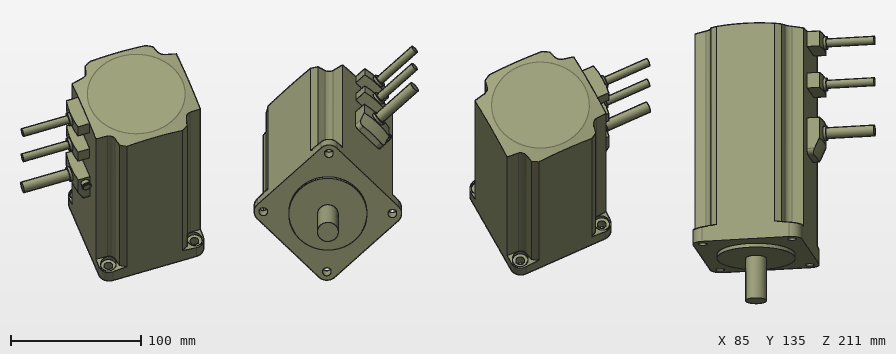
import cadquery as cq
import math

body_width = 85.0
half_width = body_width / 2
body_height = 174.0
corner_radius = 8.5
cut_margin = 1.0

cone_start_radius = 37.5
cone_angle = 13.0
cone_reach = 65.0
flange_thickness = 15.5

pilot_diameter = 60.0
pilot_height = 3.0
shaft_diameter = 16.0
shaft_end_z = -37.0

hole_spacing = 70.0
hole_diameter = 6.6
counterbore_diameter = 12.0
counterbore_floor_z = 10.0

hole_inset = (body_width - hole_spacing) / 2
recess_wall_radius = 6.25
recess_x_width = 14.9
recess_y_width = 19.8
recess_bend = (3.0, 14.9)
wall_start_angle = 13.0
wall_end_angle = 74.0

outlet_side_depth = 9.6
outlet_bulge = 1.3
boot_length = 2.0
cable_reach = 50.0
signal_width = 26.3
signal_height = 12.0
signal_heights_z = (166.3, 133.1)
signal_boot_diameter = 10.0
signal_cable_diameter = 6.3
power_width = 27.4
power_top_z = 103.0
power_slope_z = 86.5
power_bottom_z = 74.3
power_bottom_depth = 5.3
power_corner_radius = 4.2
power_cable_z = 94.0
power_boot_diameter = 11.2
power_cable_diameter = 8.5

stud_neck_diameter = 6.6
stud_neck_length = 3.5
stud_head_diameter = 7.2
stud_head_length = 1.6
stud_head_chamfer = 0.5
stud_depth = 4.1
stud_z = 97.6

outlet_depth = outlet_side_depth + outlet_bulge
front_y = -half_width


def cone_z(start_z, radius):
    """Height of the cone at a radius, given its height at the start radius."""
    return start_z - (radius - cone_start_radius) * math.tan(math.radians(cone_angle))


def space_above_cone(start_z):
    """Ring of space from the cone up past the top of the body."""
    clear_z = body_height + cut_margin
    return (
        cq.Workplane("XZ")
        .moveTo(cone_start_radius, start_z)
        .lineTo(cone_reach, cone_z(start_z, cone_reach))
        .lineTo(cone_reach, clear_z)
        .lineTo(cone_start_radius, clear_z)
        .close()
        .revolve(360, (0, 0, 0), (0, 1, 0))
    )


def wall_point(angle):
    """Point on the round recess wall of the -X, -Y corner."""
    turn = math.radians(angle)
    reach = hole_inset - half_width
    return (reach + recess_wall_radius * math.cos(turn), reach + recess_wall_radius * math.sin(turn))


def make_recess():
    """Recess of the -X, -Y corner: the outline above the conical floor."""
    outside = -half_width - cut_margin
    outline = (
        cq.Workplane("XY")
        .moveTo(outside, outside)
        .lineTo(recess_x_width - half_width, outside)
        .lineTo(recess_x_width - half_width, -half_width)
        .lineTo(*wall_point(wall_start_angle))
        .threePointArc(wall_point((wall_start_angle + wall_end_angle) / 2), wall_point(wall_end_angle))
        .lineTo(recess_bend[0] - half_width, recess_bend[1] - half_width)
        .lineTo(-half_width, recess_y_width - half_width)
        .lineTo(outside, recess_y_width - half_width)
        .close()
        .extrude(body_height + cut_margin)
    )
    return outline.intersect(space_above_cone(flange_thickness))


def make_body():
    body = (
        cq.Workplane("XY")
        .rect(body_width, body_width)
        .extrude(body_height)
        .edges("|Z")
        .fillet(corner_radius)
        .cut(space_above_cone(body_height))
    )
    recess = make_recess()
    mirrored = recess.mirror("YZ")
    for corner in (recess, mirrored, recess.mirror("XZ"), mirrored.mirror("XZ")):
        body = body.cut(corner)
    return body


def cut_mounting_holes(body):
    centres = cq.Workplane("XY").rect(hole_spacing, hole_spacing, forConstruction=True).vertices()
    holes = centres.circle(hole_diameter / 2).extrude(flange_thickness)
    counterbores = (
        cq.Workplane("XY", origin=(0, 0, counterbore_floor_z))
        .rect(hole_spacing, hole_spacing, forConstruction=True)
        .vertices()
        .circle(counterbore_diameter / 2)
        .extrude(flange_thickness - counterbore_floor_z)
    )
    return body.cut(holes).cut(counterbores)


def make_output_end():
    pilot = cq.Workplane("XY").circle(pilot_diameter / 2).extrude(-pilot_height)
    shaft = cq.Workplane("XY").circle(shaft_diameter / 2).extrude(shaft_end_z)
    return pilot.union(shaft)


def draw_bulged_outline(plane, width, side_depth):
    """Outlet outline in a plane across Z: straight sides and a bulged outer face."""
    half = width / 2
    side_y = front_y - side_depth
    return (
        plane.moveTo(-half, front_y)
        .lineTo(-half, side_y)
        .threePointArc((0, side_y - outlet_bulge), (half, side_y))
        .lineTo(half, front_y)
        .close()
    )


def make_bulged_block(width, bottom_z, top_z):
    plane = cq.Workplane("XY", origin=(0, 0, bottom_z))
    return draw_bulged_outline(plane, width, outlet_side_depth).extrude(top_z - bottom_z)


def make_front_cylinder(diameter, z, reach):
    """Cylinder pointing along -Y, reaching out from the front side of the body."""
    return cq.Workplane("XZ", origin=(0, front_y, z)).circle(diameter / 2).extrude(reach)


def make_cable(boot_diameter, cable_diameter, z):
    boot = make_front_cylinder(boot_diameter, z, outlet_depth + boot_length)
    return boot.union(make_front_cylinder(cable_diameter, z, cable_reach))


def make_signal_outlet(z):
    block = make_bulged_block(signal_width, z - signal_height / 2, z + signal_height / 2)
    return block.union(make_cable(signal_boot_diameter, signal_cable_diameter, z))


def make_power_outlet():
    block = make_bulged_block(power_width, power_slope_z, power_top_z)
    slope_top = cq.Workplane("XY", origin=(0, 0, power_slope_z))
    slope_outline = draw_bulged_outline(slope_top, power_width, outlet_side_depth)
    slope_bottom = slope_outline.workplane(offset=power_bottom_z - power_slope_z)
    slope = draw_bulged_outline(slope_bottom, power_width, power_bottom_depth - outlet_bulge).loft(ruled=True)
    rounded_envelope = (
        cq.Workplane("XZ", origin=(0, front_y, (power_top_z + power_bottom_z) / 2))
        .rect(power_width, power_top_z - power_bottom_z)
        .extrude(outlet_depth)
        .edges("|Y and <Z")
        .fillet(power_corner_radius)
    )
    shell = block.union(slope).intersect(rounded_envelope)
    return shell.union(make_cable(power_boot_diameter, power_cable_diameter, power_cable_z))


def make_ground_stud():
    head_x = power_width / 2 + stud_neck_length
    axis_y = front_y - stud_depth
    neck = cq.Workplane("YZ", origin=(0, axis_y, stud_z)).circle(stud_neck_diameter / 2).extrude(head_x)
    head = (
        cq.Workplane("YZ", origin=(head_x, axis_y, stud_z))
        .circle(stud_head_diameter / 2)
        .extrude(stud_head_length)
        .faces(">X")
        .chamfer(stud_head_chamfer)
    )
    return neck.union(head)


result = cut_mounting_holes(make_body()).union(make_output_end())
for outlet_z in signal_heights_z:
    result = result.union(make_signal_outlet(outlet_z))
result = result.union(make_power_outlet()).union(make_ground_stud())